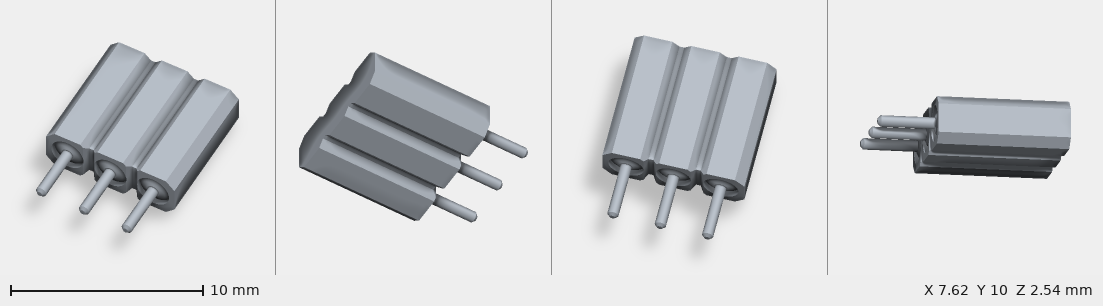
import cadquery as cq

POSITIONS = 3
PITCH = 2.54
HOUSING_LENGTH = 7.0
TAIL_LENGTH = 3.0

CORNER_CHAMFER = 0.51
GROOVE_DEPTH = 0.38
GROOVE_FLOOR = 0.26

NOTCH_DEPTH = 0.29
NOTCH_MOUTH = 0.68

BORE_RADIUS = 0.95
CONE_LENGTH = 0.33
CONE_TIP_RADIUS = 0.37
PIN_RADIUS = 0.3
PIN_CHAMFER = 0.15

HOUSING_WIDTH = POSITIONS * PITCH
HALF_HEIGHT = PITCH / 2
GROOVE_MOUTH = GROOVE_FLOOR + 2 * GROOVE_DEPTH
CELL_CENTRES = [(i - (POSITIONS - 1) / 2) * PITCH for i in range(POSITIONS)]
WEB_CENTRES = [x + PITCH / 2 for x in CELL_CENTRES[:-1]]


def groove_cutter(x, side):
    """Full-length groove over the web at x; side is +1 for the top, -1 for the bottom."""
    face = side * HALF_HEIGHT
    floor = side * (HALF_HEIGHT - GROOVE_DEPTH)
    profile = [
        (x - GROOVE_MOUTH / 2, face),
        (x - GROOVE_FLOOR / 2, floor),
        (x + GROOVE_FLOOR / 2, floor),
        (x + GROOVE_MOUTH / 2, face),
    ]
    return cq.Workplane("XZ").polyline(profile).close().extrude(-HOUSING_LENGTH)


def notch_cutter(x):
    """Tapered notch through the full height in the front end of the web at x."""
    profile = [
        (x - NOTCH_MOUTH / 2, 0),
        (x - GROOVE_FLOOR / 2, NOTCH_DEPTH),
        (x + GROOVE_FLOOR / 2, NOTCH_DEPTH),
        (x + NOTCH_MOUTH / 2, 0),
    ]
    return cq.Workplane("XY").polyline(profile).close().extrude(HALF_HEIGHT, both=True)


def make_housing():
    """Chamfered bar with a groove pair and a notch at each web, and one bore per cell."""
    body = cq.Workplane("XZ").rect(HOUSING_WIDTH, PITCH).extrude(-HOUSING_LENGTH)
    body = body.edges("|Y").chamfer(CORNER_CHAMFER)
    for x in WEB_CENTRES:
        body = body.cut(groove_cutter(x, 1))
        body = body.cut(groove_cutter(x, -1))
        body = body.cut(notch_cutter(x))
    bores = (
        cq.Workplane("XZ")
        .pushPoints([(x, 0) for x in CELL_CENTRES])
        .circle(BORE_RADIUS)
        .extrude(-HOUSING_LENGTH)
    )
    return body.cut(bores)


def make_terminal(x):
    """Turned terminal: barrel filling the bore, conical shoulder and chamfered pin."""
    profile = [
        (0, HOUSING_LENGTH),
        (BORE_RADIUS, HOUSING_LENGTH),
        (BORE_RADIUS, CONE_LENGTH),
        (CONE_TIP_RADIUS, 0),
        (PIN_RADIUS, 0),
        (PIN_RADIUS, PIN_CHAMFER - TAIL_LENGTH),
        (PIN_RADIUS - PIN_CHAMFER, -TAIL_LENGTH),
        (0, -TAIL_LENGTH),
    ]
    turned = cq.Workplane("XY").polyline(profile).close().revolve(360, (0, 0), (0, 1))
    return turned.translate((x, 0, 0))


housing = make_housing()
terminals = [make_terminal(x) for x in CELL_CENTRES]

result = cq.Compound.makeCompound([housing.val(), *[terminal.val() for terminal in terminals]])